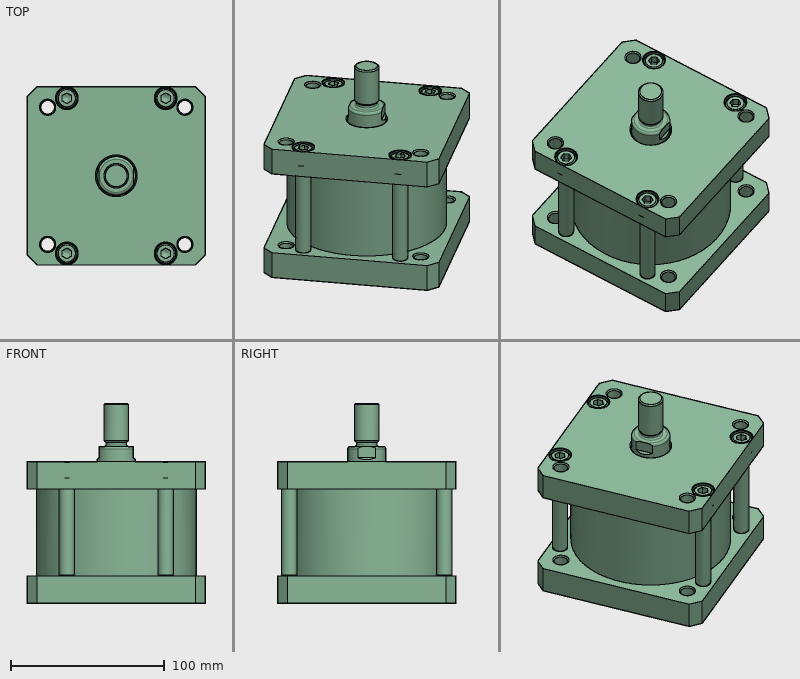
import cadquery as cq
import math

total_height = 130.0
plate_side = 116.0
plate_thickness = 17.8
plate_corner_chamfer = 6.5
barrel_diameter = 104.0
barrel_height = 56.4

barrel_bottom = plate_thickness
front_plate_bottom = barrel_bottom + barrel_height
front_plate_top = front_plate_bottom + plate_thickness

mount_offset = 44.6
mount_hole_diameter = 8.8
mount_mouth_diameter = 10.5

bolt_offset_x = 32.1
bolt_offset_y = 50.5
shank_diameter = 10.0
thread_diameter = 8.3
shank_tip_chamfer = 0.5
thread_depth = 13.0
head_diameter = 13.0
head_height = 10.0
head_edge_chamfer = 0.9
head_recess = 0.6
socket_across_flats = 6.0
socket_depth = 6.6
socket_cone_height = 1.7

head_top = front_plate_top - head_recess
head_seat = head_top - head_height
thread_bottom = plate_thickness - thread_depth

counterbore_diameter = 14.0
counterbore_mouth_diameter = 14.8

rod_diameter = 25.0
rod_shoulder_height = 101.9
rod_shoulder_fillet = 1.7
rod_thread_diameter = 16.0
rod_thread_bottom = 105.8
rod_tip_chamfer = 0.9
neck_diameter = 13.5
neck_fillet = 1.0
flat_spacing = 22.1
flat_bottom = 94.8

rod_recess_diameter = 25.6
rod_recess_mouth_diameter = 27.2
rod_recess_depth = 2.0

mount_points = [(sx * mount_offset, sy * mount_offset) for sx in (-1, 1) for sy in (-1, 1)]
bolt_points = [(sx * bolt_offset_x, sy * bolt_offset_y) for sx in (-1, 1) for sy in (-1, 1)]


def cylinder(diameter, bottom, top):
    return cq.Workplane("XY").workplane(offset=bottom).circle(diameter / 2).extrude(top - bottom)


def cone(bottom_diameter, top_diameter, bottom, top):
    return cq.Workplane(
        cq.Solid.makeCone(bottom_diameter / 2, top_diameter / 2, top - bottom, cq.Vector(0, 0, bottom))
    )


def chamfered_hole(diameter, mouth_diameter, bottom, top):
    """Cutter for a hole whose upper rim has a 45 degree chamfer."""
    chamfer = (mouth_diameter - diameter) / 2
    return cylinder(diameter, bottom, top).union(cone(diameter, mouth_diameter, top - chamfer, top))


def cut_at(body, cutter, points):
    for x, y in points:
        body = body.cut(cutter.translate((x, y, 0)))
    return body


def make_bolt():
    """Socket head bolt on the Z axis."""
    shank_bottom = plate_thickness + shank_tip_chamfer
    thread = cylinder(thread_diameter, thread_bottom, plate_thickness)
    tip_diameter = shank_diameter - 2 * shank_tip_chamfer
    tip = cone(tip_diameter, shank_diameter, plate_thickness, shank_bottom)
    shank = cylinder(shank_diameter, shank_bottom, head_seat)
    head = cylinder(head_diameter, head_seat, head_top).faces(">Z").chamfer(head_edge_chamfer)
    bolt = thread.union(tip).union(shank).union(head)

    socket_diameter = socket_across_flats / math.cos(math.pi / 6)
    socket_bottom = head_top - socket_depth
    hexagon = (
        cq.Workplane("XY")
        .workplane(offset=socket_bottom)
        .transformed(rotate=(0, 0, 90))
        .polygon(6, socket_diameter)
        .extrude(socket_depth)
    )
    cone_top = socket_bottom + socket_cone_height
    drill_point = cone(0, socket_diameter, socket_bottom, cone_top)
    drill = drill_point.union(cylinder(socket_diameter, cone_top, head_top))
    return bolt.cut(hexagon.intersect(drill))


def make_plate(bottom):
    """Square plate with cut corners and the four mounting holes."""
    top = bottom + plate_thickness
    plate = (
        cq.Workplane("XY")
        .workplane(offset=bottom)
        .rect(plate_side, plate_side)
        .extrude(plate_thickness)
        .edges("|Z")
        .chamfer(plate_corner_chamfer)
    )
    mount_hole = chamfered_hole(mount_hole_diameter, mount_mouth_diameter, bottom, top)
    return cut_at(plate, mount_hole, mount_points)


def make_rear_plate():
    thread_hole = cylinder(thread_diameter, thread_bottom, plate_thickness)
    return cut_at(make_plate(0), thread_hole, bolt_points)


def make_front_plate():
    plate = make_plate(front_plate_bottom)

    shank_hole = cylinder(shank_diameter, front_plate_bottom, front_plate_top)
    counterbore = chamfered_hole(
        counterbore_diameter, counterbore_mouth_diameter, head_seat, front_plate_top
    )
    plate = cut_at(plate, shank_hole.union(counterbore), bolt_points)

    rod_hole = cylinder(rod_diameter, front_plate_bottom, front_plate_top)
    rod_recess = chamfered_hole(
        rod_recess_diameter,
        rod_recess_mouth_diameter,
        front_plate_top - rod_recess_depth,
        front_plate_top,
    )
    return plate.cut(rod_hole).cut(rod_recess)


def make_barrel():
    return cylinder(barrel_diameter, barrel_bottom, front_plate_bottom)


def make_rod():
    rod_radius = rod_diameter / 2
    thread_radius = rod_thread_diameter / 2
    neck_radius = neck_diameter / 2
    neck_top = rod_thread_bottom - (thread_radius - neck_radius)
    arc_middle = math.cos(math.pi / 4)

    fillet_centre_r = rod_radius - rod_shoulder_fillet
    fillet_centre_z = rod_shoulder_height - rod_shoulder_fillet
    neck_centre_r = neck_radius + neck_fillet
    neck_centre_z = rod_shoulder_height + neck_fillet
    rod = (
        cq.Workplane("XZ")
        .moveTo(0, front_plate_bottom)
        .lineTo(rod_radius, front_plate_bottom)
        .lineTo(rod_radius, fillet_centre_z)
        .threePointArc(
            (
                fillet_centre_r + rod_shoulder_fillet * arc_middle,
                fillet_centre_z + rod_shoulder_fillet * arc_middle,
            ),
            (fillet_centre_r, rod_shoulder_height),
        )
        .lineTo(neck_centre_r, rod_shoulder_height)
        .threePointArc(
            (neck_centre_r - neck_fillet * arc_middle, neck_centre_z - neck_fillet * arc_middle),
            (neck_radius, neck_centre_z),
        )
        .lineTo(neck_radius, neck_top)
        .lineTo(thread_radius, rod_thread_bottom)
        .lineTo(thread_radius, total_height - rod_tip_chamfer)
        .lineTo(thread_radius - rod_tip_chamfer, total_height)
        .lineTo(0, total_height)
        .close()
        .revolve(360, (0, 0, 0), (0, 1, 0))
    )

    flat_x = flat_spacing / 2
    flat_depth = rod_radius - flat_x
    flat_cutter = (
        cq.Workplane("XZ")
        .moveTo(flat_x, flat_bottom)
        .lineTo(flat_x, rod_shoulder_height)
        .lineTo(rod_radius, rod_shoulder_height)
        .lineTo(rod_radius, flat_bottom - flat_depth)
        .close()
        .extrude(rod_radius, both=True)
    )
    return rod.cut(flat_cutter).cut(flat_cutter.mirror("YZ"))


rear_plate = make_rear_plate()
barrel = make_barrel()
front_plate = make_front_plate()
piston_rod = make_rod()
bolt = make_bolt()
bolts = [bolt.translate((x, y, 0)).val() for x, y in bolt_points]

result = cq.Compound.makeCompound(
    [rear_plate.val(), barrel.val(), front_plate.val(), piston_rod.val(), *bolts]
)